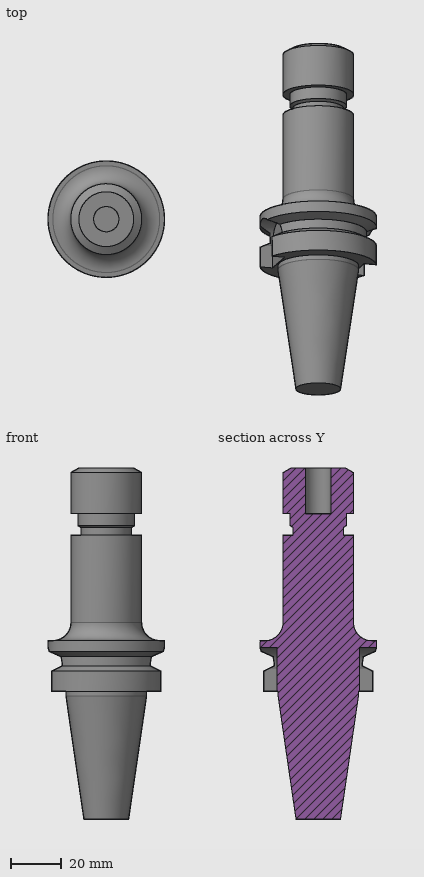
import cadquery as cq
import math


total_height = 138.4
flange_radius = 23.0

taper_slope = 7 / 48
gauge_radius = 15.9
gauge_height = 48.6
small_end_radius = gauge_radius - gauge_height * taper_slope

flange_bottom = 50.4
flange_top = 70.5
groove_radius = 19.1
groove_lower_edge = 58.4
groove_upper_edge = 66.2
groove_side_rise = 2.1

body_radius = 14.0
body_fillet = 7.0
body_top = 112.0
neck_radius = 10.0
collar_radius = 11.2
collar_bottom = 114.9
collar_chamfer_height = 0.8

nut_bottom = 120.4
nut_chamfer_width = 3.2
nut_chamfer_height = 1.8
bore_radius = 5.0
bore_depth = total_height - nut_bottom

slot_width = 16.2
slot_top = 67.7
slot_floor = 16.3


def make_turned_body():
    profile = (
        cq.Workplane("XZ")
        .moveTo(0, 0)
        .lineTo(small_end_radius, 0)
        .lineTo(gauge_radius, gauge_height)
        .lineTo(gauge_radius, flange_bottom)
        .lineTo(flange_radius, flange_bottom)
        .lineTo(flange_radius, groove_lower_edge)
        .lineTo(groove_radius, groove_lower_edge + groove_side_rise)
        .lineTo(groove_radius, groove_upper_edge - groove_side_rise)
        .lineTo(flange_radius, groove_upper_edge)
        .lineTo(flange_radius, flange_top)
        .lineTo(body_radius + body_fillet, flange_top)
        .threePointArc(
            (
                body_radius + body_fillet * (1 - math.sqrt(0.5)),
                flange_top + body_fillet * (1 - math.sqrt(0.5)),
            ),
            (body_radius, flange_top + body_fillet),
        )
        .lineTo(body_radius, body_top)
        .lineTo(neck_radius, body_top)
        .lineTo(neck_radius, collar_bottom)
        .lineTo(collar_radius, collar_bottom + collar_chamfer_height)
        .lineTo(collar_radius, nut_bottom)
        .lineTo(body_radius, nut_bottom)
        .lineTo(body_radius, total_height - nut_chamfer_height)
        .lineTo(body_radius - nut_chamfer_width, total_height)
        .lineTo(0, total_height)
        .close()
    )
    return profile.revolve(360, (0, 0, 0), (0, 1, 0))


def make_bore():
    return (
        cq.Workplane("XY")
        .workplane(offset=total_height - bore_depth)
        .circle(bore_radius)
        .extrude(bore_depth)
    )


def make_drive_slot(side):
    half_width = slot_width / 2
    arc_center = slot_top - half_width
    return (
        cq.Workplane("YZ")
        .workplane(offset=side * slot_floor)
        .moveTo(-half_width, flange_bottom)
        .lineTo(half_width, flange_bottom)
        .lineTo(half_width, arc_center)
        .threePointArc((0, slot_top), (-half_width, arc_center))
        .close()
        .extrude(side * flange_radius)
    )


result = make_turned_body().cut(make_bore())
for slot_side in (-1, 1):
    result = result.cut(make_drive_slot(slot_side))